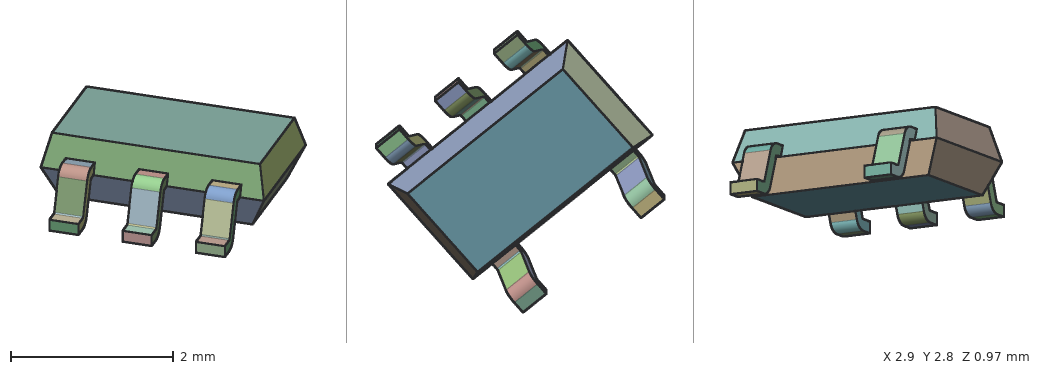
import cadquery as cq
import math

body_length = 2.9
body_width = 1.62
body_bottom = 0.12
body_top = 0.97
parting_height = (body_bottom + body_top) / 2
end_inset_top = 0.1
end_inset_bottom = 0.197
side_inset = 0.142

lead_span = 2.8
lead_pitch = 0.95
lead_width = 0.377
lead_thickness = 0.15
foot_length = 0.168
bend_inner_radius = 0.02
leg_angle = math.radians(70)
lead_embed = 0.175
front_lead_places = (-lead_pitch, 0, lead_pitch)
back_lead_places = (-lead_pitch, lead_pitch)


def body_half(face_height, end_inset):
    """Frustum from the parting plane to a smaller flat face."""
    return (
        cq.Workplane("XY", origin=(0, 0, parting_height))
        .rect(body_length, body_width)
        .workplane(offset=face_height - parting_height)
        .rect(body_length - 2 * end_inset, body_width - 2 * side_inset)
        .loft(ruled=True, combine=True)
    )


def on_circle(center, radius, angle):
    return (center[0] + radius * math.cos(angle), center[1] + radius * math.sin(angle))


def front_lead(x):
    """Lead on the -Y side, centred on x; its shoulder rests on the parting plane."""
    inner = bend_inner_radius
    outer = inner + lead_thickness
    mean = (inner + outer) / 2
    shoulder_top = parting_height + lead_thickness
    tip = -lead_span / 2
    buried_end = -body_width / 2 + lead_embed

    leg_length = (parting_height - 2 * mean * (1 - math.cos(leg_angle))) / math.sin(leg_angle)
    run = 2 * mean * math.sin(leg_angle) + leg_length * math.cos(leg_angle)
    lower = (tip + foot_length, outer)
    upper = (lower[0] + run, shoulder_top - outer)

    down = -math.pi / 2
    up = math.pi / 2
    low_mid = down + leg_angle / 2
    low_end = down + leg_angle
    high_mid = up + leg_angle / 2
    high_end = up + leg_angle

    return (
        cq.Workplane("YZ", origin=(x - lead_width / 2, 0, 0))
        .moveTo(tip, 0)
        .lineTo(lower[0], 0)
        .threePointArc(on_circle(lower, outer, low_mid), on_circle(lower, outer, low_end))
        .lineTo(*on_circle(upper, inner, high_end))
        .threePointArc(on_circle(upper, inner, high_mid), on_circle(upper, inner, up))
        .lineTo(buried_end, parting_height)
        .lineTo(buried_end, shoulder_top)
        .lineTo(upper[0], shoulder_top)
        .threePointArc(on_circle(upper, outer, high_mid), on_circle(upper, outer, high_end))
        .lineTo(*on_circle(lower, inner, low_end))
        .threePointArc(on_circle(lower, inner, low_mid), on_circle(lower, inner, down))
        .lineTo(tip, lead_thickness)
        .close()
        .extrude(lead_width)
    )


result = body_half(body_top, end_inset_top).union(body_half(body_bottom, end_inset_bottom))
for place in front_lead_places:
    result = result.union(front_lead(place))
for place in back_lead_places:
    result = result.union(front_lead(place).mirror("XZ"))